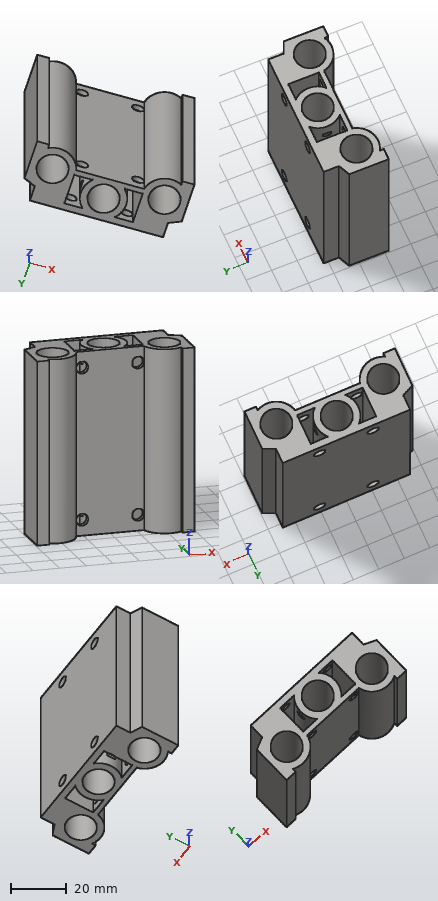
import cadquery as cq
import math

length = 69.0
width = 59.0
depth = 23.5

block_width = 49.95
shoulder_inner_y = 17.5
shoulder_outer_y = 15.5
web_front_y = 7.0

bore_diameter = 11.5
wall_radius = 8.5
side_bore_x = 21.0
side_bore_y = 9.0
center_bore_y = 15.0

pocket_width = 25.7
pocket_front_y = 9.0
pocket_rear_y = 20.9

cross_hole_diameter = 4.5
cross_hole_x = 10.5
cross_hole_end_distance = 6.0


def make_body():
    """Extrude the stepped outline with its two round front lobes."""
    half_width = width / 2
    half_block = block_width / 2

    leg_offset = half_block - side_bore_x
    leg_y = side_bore_y - math.sqrt(wall_radius**2 - leg_offset**2)
    web_offset = math.sqrt(wall_radius**2 - (side_bore_y - web_front_y) ** 2)
    web_x = side_bore_x - web_offset

    arc_mid_x = side_bore_x - wall_radius * math.sqrt(0.5)
    arc_mid_y = side_bore_y - wall_radius * math.sqrt(0.5)

    return (
        cq.Workplane("XY")
        .moveTo(-half_block, depth)
        .lineTo(half_block, depth)
        .lineTo(half_block, shoulder_inner_y)
        .lineTo(half_width, shoulder_outer_y)
        .lineTo(half_width, 0)
        .lineTo(half_block, 0)
        .lineTo(half_block, leg_y)
        .threePointArc((arc_mid_x, arc_mid_y), (web_x, web_front_y))
        .lineTo(-web_x, web_front_y)
        .threePointArc((-arc_mid_x, arc_mid_y), (-half_block, leg_y))
        .lineTo(-half_block, 0)
        .lineTo(-half_width, 0)
        .lineTo(-half_width, shoulder_outer_y)
        .lineTo(-half_block, shoulder_inner_y)
        .close()
        .extrude(length)
    )


def make_pockets():
    """Rectangular opening less the tube that stands in its middle."""
    opening = (
        cq.Workplane("XY")
        .center(0, (pocket_front_y + pocket_rear_y) / 2)
        .rect(pocket_width, pocket_rear_y - pocket_front_y)
        .extrude(length)
    )
    tube = cq.Workplane("XY").center(0, center_bore_y).circle(wall_radius).extrude(length)
    return opening.cut(tube)


def make_bores():
    centers = [(-side_bore_x, side_bore_y), (0, center_bore_y), (side_bore_x, side_bore_y)]
    return cq.Workplane("XY").pushPoints(centers).circle(bore_diameter / 2).extrude(length)


def make_cross_holes():
    centers = [
        (x, z)
        for x in (-cross_hole_x, cross_hole_x)
        for z in (cross_hole_end_distance, length - cross_hole_end_distance)
    ]
    return cq.Workplane("XZ").pushPoints(centers).circle(cross_hole_diameter / 2).extrude(-depth)


result = make_body().cut(make_pockets()).cut(make_bores()).cut(make_cross_holes())